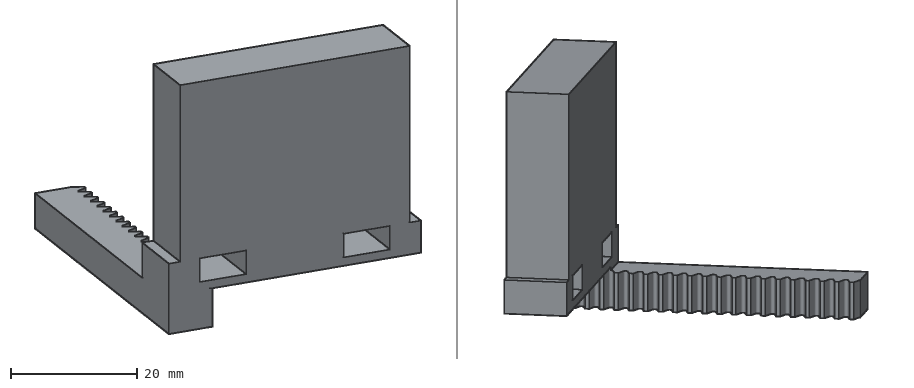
import cadquery as cq
import math

length = 50.2
width = 44.0
height = 42.0

plate_thickness = 10.05
foot_bottom = 6.55
foot_top = 12.0
shoulder = 1.95

window_width = 8.05
window_height = 4.0
window_edge = 5.4

rack_height = 6.0
tip_y = 8.25
module = 0.75
pressure_angle = math.radians(20)
addendum = module
dedendum = 1.25 * module
root_radius = 0.3
first_tooth_x = 1.05

pitch = math.pi * module
pitch_line_y = tip_y - addendum
root_y = pitch_line_y - dedendum
plate_x = length - plate_thickness
window_bottom = foot_top - window_height


def block(x_start, x_end, y_start, y_end, z_start, z_end):
    """Box spanning the given limits."""
    size = (x_end - x_start, y_end - y_start, z_end - z_start)
    return cq.Workplane("XY").box(*size, centered=False).translate((x_start, y_start, z_start))


def tooth_gap(center_x):
    """Cutter for one trapezoidal gap with rounded root corners."""
    slope = math.tan(pressure_angle)
    clearance = 0.5
    root_half = pitch / 4 - dedendum * slope
    mouth_half = pitch / 4 + (addendum + clearance) * slope
    mouth_y = tip_y + clearance
    return (
        cq.Workplane("XY")
        .moveTo(center_x - mouth_half, mouth_y)
        .lineTo(center_x - root_half, root_y)
        .lineTo(center_x + root_half, root_y)
        .lineTo(center_x + mouth_half, mouth_y)
        .close()
        .extrude(foot_bottom)
        .edges("|Z and <Y")
        .fillet(root_radius)
    )


def make_rack():
    """Toothed bar, raised to the underside of the foot where it carries the plate."""
    rack = block(0, length, 0, tip_y, 0, rack_height)
    rack = rack.union(block(plate_x, length, 0, tip_y, 0, foot_bottom))
    gap_count = math.ceil(length / pitch) + 1
    for index in range(gap_count):
        rack = rack.cut(tooth_gap(first_tooth_x + (index - 0.5) * pitch))
    return rack


def make_plate():
    """Foot with two windows, and the panel standing on it."""
    foot = block(plate_x, length, 0, width, foot_bottom, foot_top)
    panel = block(plate_x, length, shoulder, width - shoulder, foot_top, height)
    plate = foot.union(panel)
    for window_y in (window_edge, width - window_edge - window_width):
        plate = plate.cut(
            block(plate_x, length, window_y, window_y + window_width, window_bottom, foot_top)
        )
    return plate


result = make_plate().union(make_rack())